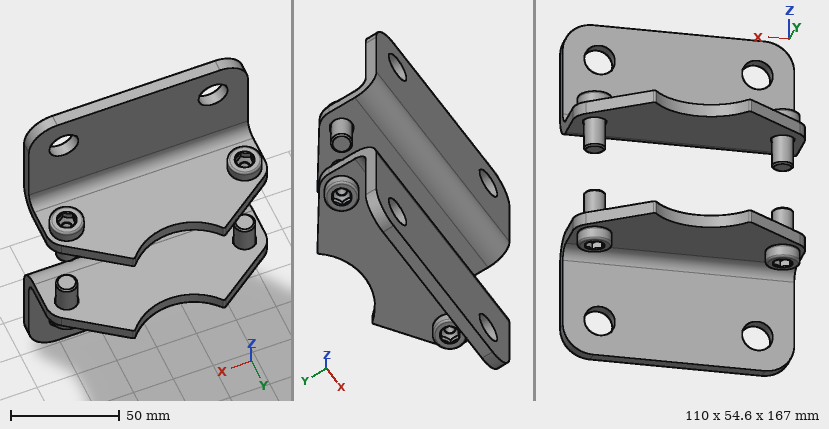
import cadquery as cq
import math

overall_height = 167.0
bracket_gap = 50.1
bracket_height = (overall_height - bracket_gap) / 2
flange_face_z = bracket_gap / 2

width = 110.0
thickness = 6.0
bend_inner_radius = 6.0
bend_outer_radius = bend_inner_radius + thickness

leg_corner_radius = 14.2
mount_hole_diameter = 14.5
mount_hole_spacing = 75.0
mount_hole_edge_distance = 17.4

tip_fillet_radius = 1.0
tip_depth = 55.0
flange_slope_angle = 35.5
flange_corner_radius = 10.0
saddle_radius = 28.5
saddle_centre_y = 72.5

screw_spacing = 89.3
screw_y = 26.4
screw_hole_diameter = 11.0
shank_diameter = 10.0
shank_length = 20.0
shank_chamfer = 0.8
head_diameter = 16.0
head_height = 6.5
head_fillet = 1.0
socket_width = 8.0
socket_depth = 3.2
socket_mouth_margin = 0.05
pilot_diameter = 5.0
pilot_depth = 6.0


def bent_profile():
    """Solid L section with a concentric bend, running along X."""
    top_z = flange_face_z + bracket_height
    inner_face_z = flange_face_z + thickness
    mid_bend = math.sqrt(0.5)
    bend_z = flange_face_z + bend_outer_radius
    return (
        cq.Workplane("YZ")
        .moveTo(0, top_z)
        .lineTo(0, bend_z)
        .threePointArc(
            (bend_outer_radius * (1 - mid_bend), bend_z - bend_outer_radius * mid_bend),
            (bend_outer_radius, flange_face_z),
        )
        .lineTo(tip_depth, flange_face_z)
        .lineTo(tip_depth, inner_face_z)
        .lineTo(bend_outer_radius, inner_face_z)
        .threePointArc(
            (bend_outer_radius - bend_inner_radius * mid_bend, bend_z - bend_inner_radius * mid_bend),
            (thickness, bend_z),
        )
        .lineTo(thickness, top_z)
        .close()
        .extrude(width / 2, both=True)
    )


def flange_outline():
    """Prism over the flange plan: slanted sides with rounded corners and a round saddle."""
    tip_x = math.sqrt(saddle_radius**2 - (saddle_centre_y - tip_depth) ** 2)
    shoulder_y = tip_depth - (width / 2 - tip_x) * math.tan(math.radians(flange_slope_angle))
    outline = (
        cq.Workplane("XY")
        .moveTo(-width / 2, 0)
        .lineTo(width / 2, 0)
        .lineTo(width / 2, shoulder_y)
        .lineTo(tip_x, tip_depth)
        .threePointArc((0, saddle_centre_y - saddle_radius), (-tip_x, tip_depth))
        .lineTo(-width / 2, shoulder_y)
        .close()
        .extrude(overall_height / 2)
    )
    outline = outline.edges("|Z").edges(">Y").fillet(tip_fillet_radius)
    for side in (-1, 1):
        shoulder = cq.selectors.NearestToPointSelector((side * width / 2, shoulder_y, overall_height / 4))
        outline = outline.edges(shoulder).fillet(flange_corner_radius)
    return outline


def make_bracket():
    """Upper bracket: bent plate with four holes."""
    bracket = bent_profile().intersect(flange_outline())
    bracket = bracket.edges("|Y and >Z").edges("<X or >X").fillet(leg_corner_radius)
    mount_holes = (
        cq.Workplane("XZ", origin=(0, 0, overall_height / 2 - mount_hole_edge_distance))
        .rarray(mount_hole_spacing, 1.7, 2, 1)
        .circle(mount_hole_diameter / 2)
        .extrude(-thickness)
    )
    screw_holes = (
        cq.Workplane("XY", origin=(0, screw_y, flange_face_z))
        .rarray(screw_spacing, 1.7, 2, 1)
        .circle(screw_hole_diameter / 2)
        .extrude(thickness)
    )
    return bracket.cut(mount_holes).cut(screw_holes)


def pointed_cylinder(radius, depth):
    """Cylinder sunk from the top of the head to the given depth, ending in a 90 degree point."""
    floor_z = head_height - depth
    outline = cq.Workplane("XZ").moveTo(0, floor_z - radius).lineTo(radius, floor_z)
    if depth > 0:
        outline = outline.lineTo(radius, head_height)
    return outline.lineTo(0, head_height).close().revolve(360, (0, 0), (0, 1))


def socket_cutter():
    """Hexagon socket with a conical floor, a pilot hole below it and a chamfered mouth."""
    corner_radius = socket_width / math.sqrt(3)
    cone_depth = socket_depth + corner_radius
    hexagon = (
        cq.Workplane("XY", origin=(0, 0, head_height))
        .polygon(6, 2 * corner_radius)
        .extrude(-cone_depth)
        .rotate((0, 0, 0), (0, 0, 1), 90)
        .intersect(pointed_cylinder(corner_radius, socket_depth))
    )
    pilot = pointed_cylinder(pilot_diameter / 2, pilot_depth)
    mouth = pointed_cylinder(corner_radius + socket_mouth_margin, 0)
    return hexagon.union(pilot).union(mouth)


def make_screw():
    """Screw with its head seat on Z = 0 and its shank pointing down."""
    head = (
        cq.Workplane("XY")
        .circle(head_diameter / 2)
        .extrude(head_height)
        .edges().fillet(head_fillet)
    )
    shank = (
        cq.Workplane("XY")
        .circle(shank_diameter / 2)
        .extrude(-shank_length)
        .faces("<Z").edges().chamfer(shank_chamfer)
    )
    return head.union(shank).cut(socket_cutter())


upper_bracket = make_bracket()
brackets = [upper_bracket.val(), upper_bracket.mirror("XY").val()]

screws = []
for side in (-1, 1):
    seat = (side * screw_spacing / 2, screw_y, flange_face_z + thickness)
    upper_screw = make_screw().translate(seat)
    screws.append(upper_screw.val())
    screws.append(upper_screw.mirror("XY").val())

result = cq.Compound.makeCompound([*brackets, *screws])